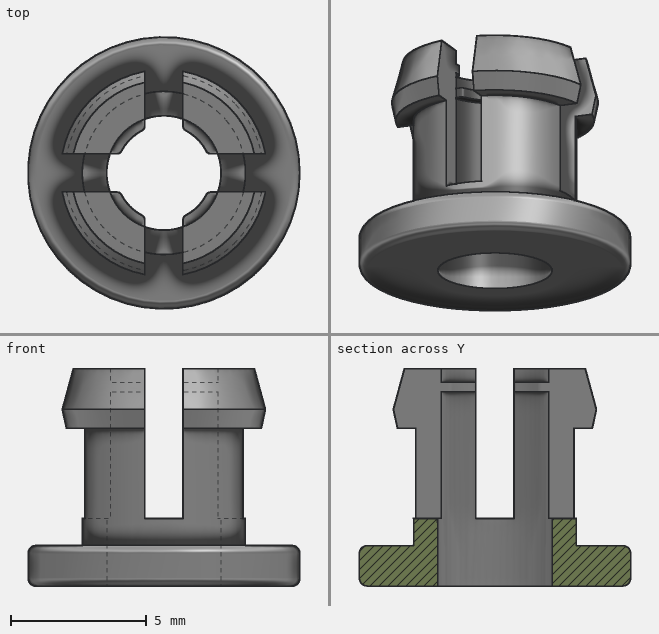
import cadquery as cq

flange_radius = 5
flange_height = 1.5
flange_edge_fillet = 0.3

stem_radius = 3
bore_radius = 2.1
slot_width = 1.4
slot_floor_z = 2.5

head_bottom_radius = 3.65
head_max_radius = 3.8
head_top_radius = 3.4
head_bottom_z = 5.8
head_max_z = 6.5
total_height = 8

ridge_radius = 1.75
ridge_depth = 0.5
ridge_height = 0.35
ridge_corner_fillet = 0.2


def make_flange():
    disc = cq.Workplane("XY").circle(flange_radius).extrude(flange_height)
    return disc.edges().fillet(flange_edge_fillet)


def make_stem_and_head():
    outline = [
        (0, 0),
        (stem_radius, 0),
        (stem_radius, head_bottom_z),
        (head_bottom_radius, head_bottom_z),
        (head_max_radius, head_max_z),
        (head_top_radius, total_height),
        (0, total_height),
    ]
    return cq.Workplane("XZ").polyline(outline).close().revolve(360, (0, 0), (0, 1))


def make_slots():
    slot_height = total_height - slot_floor_z
    slot_length = 2 * flange_radius
    slots = cq.Workplane("XY")
    for size_x, size_y in ((slot_length, slot_width), (slot_width, slot_length)):
        bar = cq.Workplane("XY").box(size_x, size_y, slot_height, centered=(True, True, False))
        slots = slots.add(bar.translate((0, 0, slot_floor_z)))
    return slots.combine()


def make_ridges(slots):
    """Four ring segments with rounded inner corners, one per finger."""
    ridge_bottom_z = total_height - ridge_depth - ridge_height
    overlap_radius = (bore_radius + stem_radius) / 2
    ring = cq.Workplane("XY").workplane(offset=ridge_bottom_z)
    ring = ring.circle(overlap_radius).circle(ridge_radius).extrude(ridge_height)
    segments = ring.cut(slots)
    corner_distance = (ridge_radius + bore_radius) / 2
    inner_zone = cq.selectors.BoxSelector(
        (-corner_distance, -corner_distance, 0),
        (corner_distance, corner_distance, total_height),
    )
    return segments.edges("|Z").edges(inner_zone).fillet(ridge_corner_fillet)


slots = make_slots()
bore = cq.Workplane("XY").circle(bore_radius).extrude(total_height)
body = make_flange().union(make_stem_and_head()).cut(bore).cut(slots)
result = body.union(make_ridges(slots))